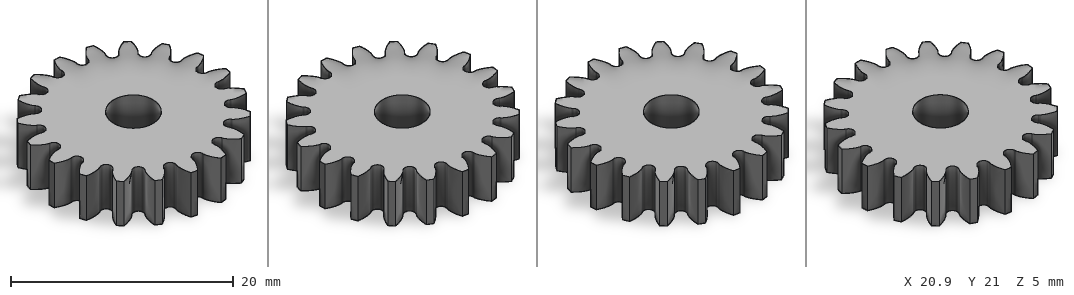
import cadquery as cq
import math

tooth_count = 19
overall_height_y = 20.97
thickness = 5.0
bore_diameter = 5.0
pressure_angle = math.radians(20)
dedendum_factor = 1.25
flank_steps = 6

pitch_step = 2 * math.pi / tooth_count


def involute(angle):
    return math.tan(angle) - angle


base_half_angle = pitch_step / 4 + involute(pressure_angle)
gap_half_angle = pitch_step / 2 - base_half_angle
tip_pressure_angle = math.acos(tooth_count * math.cos(pressure_angle) / (tooth_count + 2))
tip_half_angle = base_half_angle - involute(tip_pressure_angle)

tooth_near_y = round(tooth_count / 4)
corner_offset = abs(tooth_near_y * pitch_step - math.pi / 2) - tip_half_angle
tip_radius = overall_height_y / 2 / math.cos(corner_offset)

module = 2 * tip_radius / (tooth_count + 2)
pitch_radius = module * tooth_count / 2
root_radius = pitch_radius - dedendum_factor * module
base_radius = pitch_radius * math.cos(pressure_angle)

gap_sine = math.sin(gap_half_angle)
gap_centre_radius = root_radius / (1 - gap_sine)
wall_start_radius = gap_centre_radius * math.cos(gap_half_angle)


def polar(radius, angle):
    return (radius * math.cos(angle), radius * math.sin(angle))


def flank_points(tooth_angle, side):
    """Involute points from base to tip; side is -1 or +1 around the tooth centre."""
    max_roll = math.tan(tip_pressure_angle)
    points = []
    for step in range(flank_steps + 1):
        roll = max_roll * step / flank_steps
        radius = base_radius * math.sqrt(1 + roll**2)
        half_angle = base_half_angle - involute(math.atan(roll))
        points.append(polar(radius, tooth_angle + side * half_angle))
    return points


def gear_outline():
    outline = cq.Workplane("XY").moveTo(*polar(wall_start_radius, -base_half_angle))
    for tooth in range(tooth_count):
        tooth_angle = tooth * pitch_step
        rising = flank_points(tooth_angle, -1)
        falling = flank_points(tooth_angle, 1)[::-1]
        gap_angle = tooth_angle + pitch_step / 2
        outline = (
            outline.lineTo(*rising[0])
            .spline(rising[1:], includeCurrent=True)
            .threePointArc(polar(tip_radius, tooth_angle), falling[0])
            .spline(falling[1:], includeCurrent=True)
            .lineTo(*polar(wall_start_radius, tooth_angle + base_half_angle))
            .threePointArc(
                polar(root_radius, gap_angle),
                polar(wall_start_radius, gap_angle + gap_half_angle),
            )
        )
    return outline.close()


gear = gear_outline().extrude(thickness)
bore = cq.Workplane("XY").circle(bore_diameter / 2).extrude(thickness)
result = gear.cut(bore)